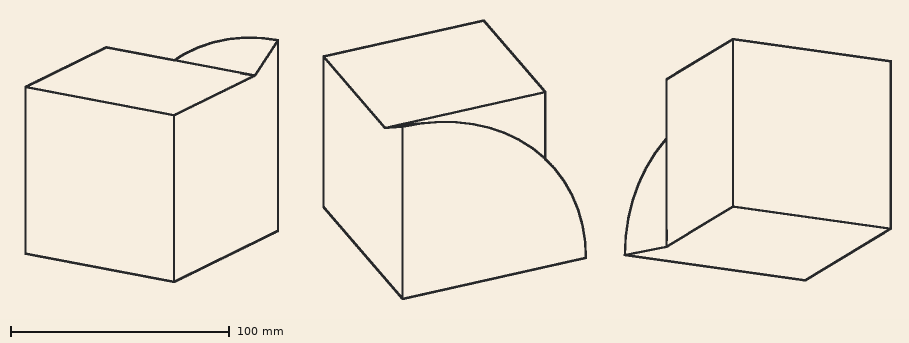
import cadquery as cq
import math

overall_radius = 91.55
block_length = 70.0
flare_depth = 20.0
flare_angle = 30.0

block_side = overall_radius - flare_depth * math.tan(math.radians(flare_angle))


def make_block():
    """Square block with its +X, -Z edge on the Y axis, ending at Y = 0."""
    return cq.Workplane("XY").box(
        block_side, block_length, block_side, centered=False
    ).translate((-block_side, -block_length, 0))


def make_flare():
    """Quarter of a cone frustum about the Y axis, between -X and +Z."""
    profile = (
        cq.Workplane("XY")
        .lineTo(-block_side, 0)
        .lineTo(-overall_radius, flare_depth)
        .lineTo(0, flare_depth)
        .close()
    )
    return profile.revolve(90, (0, 0, 0), (0, 1, 0))


result = make_block().union(make_flare())